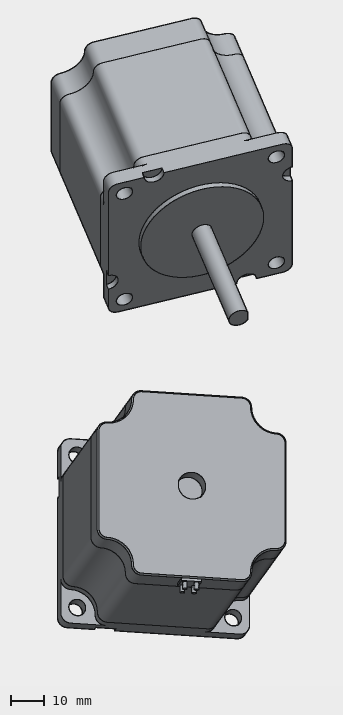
import cadquery as cq
import math


cover_length = 9.0
stator_end = 48.0
flange_rear = 51.1
flange_front = 55.8
pilot_front = 57.5
shaft_end = 93.0

width = 57.0
half_width = width / 2
edge_radius = 3.0
flank_half_length = 15.2
lobe_offset = flank_half_length + edge_radius
scallop_centre = half_width - edge_radius

rim_chamfer = 0.5
bore_diameter = 8.3
bore_depth = 5.0

connector_size = 6.0
connector_height = 0.8
connector_rear = 0.5
pin_diameter = 1.4
pin_spacing = 3.5
pin_length = 2.1

mount_hole_spacing = 47.1
mount_hole_diameter = 5.0
pilot_diameter = 38.1
notch_diameter = 6.0
notch_depth = 1.95
notch_offset = 14.3

shaft_diameter = 6.3
shaft_flat_offset = 2.7


def quarter_turn(point, turns):
    """Turn a cross-section point about the motor axis in 90 degree steps."""
    y, z = point
    for _ in range(turns):
        y, z = -z, y
    return y, z


def lobed_prism(start, end):
    """Square body whose four corners are scooped out around the mounting holes."""
    edge_mid = edge_radius * math.sqrt(0.5)
    scallop_mid = scallop_centre - (scallop_centre - lobe_offset) * math.sqrt(0.5)
    outline = cq.Workplane("YZ", origin=(start, 0, 0)).moveTo(half_width, -flank_half_length)
    for turns in range(4):
        flank_end = quarter_turn((half_width, flank_half_length), turns)
        first_edge_mid = quarter_turn((scallop_centre + edge_mid, flank_half_length + edge_mid), turns)
        scallop_start = quarter_turn((scallop_centre, lobe_offset), turns)
        scallop_middle = quarter_turn((scallop_mid, scallop_mid), turns)
        scallop_end = quarter_turn((lobe_offset, scallop_centre), turns)
        second_edge_mid = quarter_turn((flank_half_length + edge_mid, scallop_centre + edge_mid), turns)
        next_flank = quarter_turn((flank_half_length, half_width), turns)
        outline = (
            outline.lineTo(*flank_end)
            .threePointArc(first_edge_mid, scallop_start)
            .threePointArc(scallop_middle, scallop_end)
            .threePointArc(second_edge_mid, next_flank)
        )
    return outline.close().extrude(end - start)


def connector():
    """Square plate with four round pins, hanging from the underside of the cover."""
    centre_x = connector_rear + connector_size / 2
    plate = (
        cq.Workplane("XY", origin=(centre_x, 0, -half_width))
        .rect(connector_size, connector_size)
        .extrude(-connector_height)
    )
    pins = (
        cq.Workplane("XY", origin=(centre_x, 0, -half_width - connector_height))
        .rect(pin_spacing, pin_spacing, forConstruction=True)
        .vertices()
        .circle(pin_diameter / 2)
        .extrude(-pin_length)
    )
    return plate.union(pins)


def make_rear_cover():
    cover = lobed_prism(0, cover_length).faces("<X").chamfer(rim_chamfer)
    bore = cq.Workplane("YZ").circle(bore_diameter / 2).extrude(bore_depth)
    return cover.cut(bore).union(connector())


def make_stator():
    return lobed_prism(cover_length, stator_end)


def flange_plate():
    """Square mounting plate with rounded corners and four through holes."""
    return (
        cq.Workplane("YZ", origin=(flange_rear, 0, 0))
        .rect(width, width)
        .extrude(flange_front - flange_rear)
        .edges("|X")
        .fillet(edge_radius)
        .faces(">X")
        .workplane(origin=(flange_front, 0, 0))
        .rect(mount_hole_spacing, mount_hole_spacing, forConstruction=True)
        .vertices()
        .hole(mount_hole_diameter)
    )


def edge_notches():
    """Half-round notches in the front face, one on each side of the flange."""
    centres = [quarter_turn((-notch_offset, half_width), turns) for turns in range(4)]
    return (
        cq.Workplane("YZ", origin=(flange_front, 0, 0))
        .pushPoints(centres)
        .circle(notch_diameter / 2)
        .extrude(-notch_depth)
    )


def output_shaft():
    """Round shaft with one flat along its +Y side."""
    length = shaft_end - pilot_front
    shaft = cq.Workplane("YZ", origin=(pilot_front, 0, 0)).circle(shaft_diameter / 2).extrude(length)
    keep_half_width = shaft_diameter / 2
    flat_limit = (
        cq.Workplane("YZ", origin=(pilot_front, 0, 0))
        .center((shaft_flat_offset - keep_half_width) / 2, 0)
        .rect(shaft_flat_offset + keep_half_width, shaft_diameter)
        .extrude(length)
    )
    return shaft.intersect(flat_limit)


def make_front_end():
    pilot = (
        cq.Workplane("YZ", origin=(flange_front, 0, 0))
        .circle(pilot_diameter / 2)
        .extrude(pilot_front - flange_front)
    )
    return (
        lobed_prism(stator_end, flange_rear)
        .union(flange_plate())
        .cut(edge_notches())
        .union(pilot)
        .union(output_shaft())
    )


rear_cover = make_rear_cover()
stator = make_stator()
front_end = make_front_end()

result = cq.Compound.makeCompound([rear_cover.val(), stator.val(), front_end.val()])